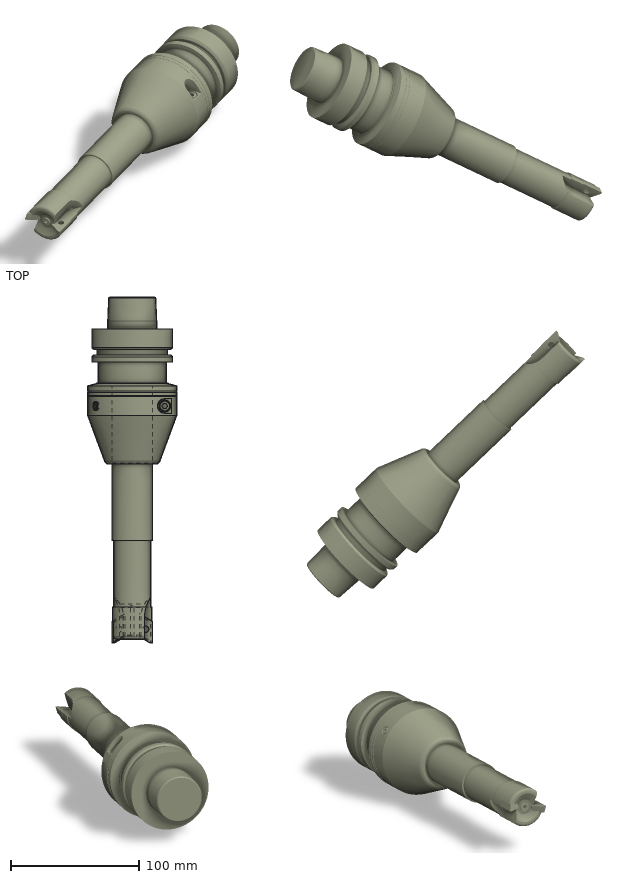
import cadquery as cq
import math

OVERALL_LENGTH = 269.5

TAPER_END_RADIUS = 18.3
TAPER_RADIUS = 19.0
TAPER_END_CHAMFER = 0.8
TAPER_TOP_Y = 250.5

FLANGE_RADIUS = 31.5
FLANGE_BACK_Y = 244.7
FLANGE_FRONT_Y = 218.8
GRIP_BACK_Y = 228.5
GRIP_FRONT_Y = 224.5
GRIP_RADIUS = 27.5
GRIP_CHAMFER = 1.5

NECK_RADIUS = 26.7
SHOULDER_BACK_Y = 202.6
SHOULDER_RIM_RADIUS = 27.8
SHOULDER_RIM_Y = 202.0
BARREL_RADIUS = 34.8
BARREL_BACK_Y = 200.2
BARREL_FRONT_Y = 177.3
NOSE_RADIUS = 21.5
NOSE_EDGE_Y = 141.7
NOSE_FACE_RADIUS = 19.0
NOSE_FACE_Y = 139.3
NOSE_RECESS_RADIUS = 17.5
NOSE_RECESS_DEPTH = 0.8

RING_GROOVE_CENTRES_Y = (195.6, 192.5)
RING_GROOVE_WIDTH = 1.0
RING_GROOVE_DEPTH = 0.3

SCREW_Y = 184.5
SCREW_GAP = 0.8
SIDE_SCREW_ANGLE = 34.0
SIDE_SCREW_RADIUS = 2.7
SIDE_SCREW_SOCKET = 2.7
SIDE_SCREW_DEPTH = 1.3
SPOT_FACE_X = 25.3
SPOT_FACE_Z = 16.2
SPOT_FACE_RADIUS = 5.7
CLAMP_SCREW_RADIUS = 3.8
CLAMP_SCREW_SOCKET = 4.3
CLAMP_SCREW_DEPTH = 2.2

SHANK_RADIUS = 16.0
SHANK_BACK_Y = BARREL_BACK_Y
SHANK_FRONT_Y = 80.0
WAIST_RADIUS = 14.5
HEAD_RADIUS = 15.4
HEAD_BACK_Y = 28.0
HEAD_FACE_Y = 3.0
HEAD_FILLET = 2.2

DISH_RADIUS = 11.5
DISH_FLOOR_RADIUS = 6.0
DISH_FLOOR_Y = 6.5
HUB_RADIUS = 3.5
HUB_FACE_Y = 5.5
COOLANT_RADIUS = 1.3
COOLANT_OUTLET_Y = 29.0
COOLANT_OUTLET_Z = 1.5

FLUTE_ROOT_X = 7.0
FLUTE_LIP_X = 9.7
FLUTE_STRAIGHT_Y = 22.6
FLUTE_RUNOUT_Y = 36.0
FLUTE_RUNOUT_RADIUS = 18.9

INSERT_COUNT = 2
INSERT_THICKNESS = 5.5
INSERT_RELIEF_ANGLE = 12.0
INSERT_OUTER_X = 16.0
INSERT_INNER_X = 5.7
INSERT_TIP_WIDTH = 2.0
INSERT_LENGTH = 16.7
INSERT_EDGE_SLOPE = 0.6
INSERT_HOLE_X = 10.5
INSERT_HOLE_Y = 10.8
INSERT_HOLE_RADIUS = 2.5


def turned(profile):
    """Revolve a closed (radius, y) sketch around the Y axis."""
    return profile.close().revolve(360, (0, 0, 0), (0, 1, 0))


def cylinder_along_y(radius, start_y, end_y):
    return cq.Workplane("XZ", origin=(0, start_y, 0)).circle(radius).extrude(start_y - end_y)


def around_axis(shape, index, count):
    """Copy number `index` of `count` copies spread evenly around the tool axis."""
    return shape.rotate((0, 0, 0), (0, 1, 0), index * 360 / count)



def holder_blank():
    grip_edge_radius = FLANGE_RADIUS - GRIP_CHAMFER
    profile = (
        cq.Workplane("XY")
        .moveTo(0, OVERALL_LENGTH)
        .lineTo(TAPER_END_RADIUS - TAPER_END_CHAMFER, OVERALL_LENGTH)
        .lineTo(TAPER_END_RADIUS, OVERALL_LENGTH - TAPER_END_CHAMFER)
        .lineTo(TAPER_RADIUS, TAPER_TOP_Y)
        .lineTo(TAPER_RADIUS, FLANGE_BACK_Y)
        .lineTo(FLANGE_RADIUS, FLANGE_BACK_Y)
        .lineTo(FLANGE_RADIUS, GRIP_BACK_Y + GRIP_CHAMFER)
        .lineTo(grip_edge_radius, GRIP_BACK_Y)
        .lineTo(GRIP_RADIUS, GRIP_BACK_Y)
        .lineTo(GRIP_RADIUS, GRIP_FRONT_Y)
        .lineTo(grip_edge_radius, GRIP_FRONT_Y)
        .lineTo(FLANGE_RADIUS, GRIP_FRONT_Y - GRIP_CHAMFER)
        .lineTo(FLANGE_RADIUS, FLANGE_FRONT_Y)
        .lineTo(NECK_RADIUS, FLANGE_FRONT_Y)
        .lineTo(NECK_RADIUS, SHOULDER_BACK_Y)
        .lineTo(SHOULDER_RIM_RADIUS, SHOULDER_BACK_Y)
        .lineTo(SHOULDER_RIM_RADIUS, SHOULDER_RIM_Y)
        .lineTo(BARREL_RADIUS, BARREL_BACK_Y)
        .lineTo(BARREL_RADIUS, BARREL_FRONT_Y)
        .lineTo(NOSE_RADIUS, NOSE_EDGE_Y)
        .tangentArcPoint((NOSE_FACE_RADIUS, NOSE_FACE_Y), relative=False)
        .lineTo(0, NOSE_FACE_Y)
    )
    return turned(profile)


def ring_groove(centre_y):
    start_y = centre_y - RING_GROOVE_WIDTH / 2
    end_y = centre_y + RING_GROOVE_WIDTH / 2
    outer = cylinder_along_y(BARREL_RADIUS + RING_GROOVE_DEPTH, start_y, end_y)
    return outer.cut(cylinder_along_y(BARREL_RADIUS - RING_GROOVE_DEPTH, start_y, end_y))


def screw_outline_cut(seat, screw_radius, socket_width, depth, clearance):
    """Ring gap and hexagon socket sunk `depth` below the seat plane."""
    gap = seat.circle(screw_radius + SCREW_GAP).circle(screw_radius).extrude(clearance + depth)
    socket = seat.polygon(6, socket_width).extrude(clearance + depth)
    return gap.union(socket)


def side_screw_cut():
    angle = math.radians(SIDE_SCREW_ANGLE)
    outward = cq.Vector(-math.cos(angle), 0, math.sin(angle))
    start = outward * (BARREL_RADIUS + SCREW_GAP) + cq.Vector(0, SCREW_Y, 0)
    seat = cq.Workplane(cq.Plane(origin=start, xDir=(0, 1, 0), normal=outward * -1))
    return screw_outline_cut(seat, SIDE_SCREW_RADIUS, SIDE_SCREW_SOCKET, SIDE_SCREW_DEPTH, SCREW_GAP)


def spot_face_cut():
    """U-shaped flat that opens sideways through the barrel wall."""
    floor = cq.Workplane("XY", origin=(SPOT_FACE_X, SCREW_Y, SPOT_FACE_Z))
    round_end = floor.circle(SPOT_FACE_RADIUS).extrude(BARREL_RADIUS)
    open_end = floor.rect(BARREL_RADIUS, 2 * SPOT_FACE_RADIUS).extrude(BARREL_RADIUS)
    open_end = open_end.translate((BARREL_RADIUS / 2, 0, 0))
    return round_end.union(open_end)


def clamp_screw_cut():
    floor_z = SPOT_FACE_Z - CLAMP_SCREW_DEPTH
    seat = cq.Workplane("XY", origin=(SPOT_FACE_X, SCREW_Y, floor_z))
    return screw_outline_cut(seat, CLAMP_SCREW_RADIUS, CLAMP_SCREW_SOCKET, CLAMP_SCREW_DEPTH, 0)


def make_holder():
    holder = holder_blank()
    for centre_y in RING_GROOVE_CENTRES_Y:
        holder = holder.cut(ring_groove(centre_y))
    holder = holder.cut(cylinder_along_y(SHANK_RADIUS, NOSE_FACE_Y, SHANK_BACK_Y))
    recess_floor_y = NOSE_FACE_Y + NOSE_RECESS_DEPTH
    holder = holder.cut(cylinder_along_y(NOSE_RECESS_RADIUS, NOSE_FACE_Y, recess_floor_y))
    holder = holder.cut(side_screw_cut())
    holder = holder.cut(spot_face_cut())
    return holder.cut(clamp_screw_cut())



def insert_blank():
    """Plate on the +X side, narrowing downward from its rake face by the relief angle."""
    tip_inner_x = INSERT_OUTER_X - INSERT_TIP_WIDTH
    front_inner_y = INSERT_EDGE_SLOPE * (tip_inner_x - INSERT_INNER_X)
    back_inner_y = INSERT_LENGTH + INSERT_EDGE_SLOPE * (INSERT_OUTER_X - INSERT_INNER_X)
    outline = [
        (INSERT_OUTER_X, 0),
        (INSERT_OUTER_X, INSERT_LENGTH),
        (INSERT_INNER_X, back_inner_y),
        (INSERT_INNER_X, front_inner_y),
        (tip_inner_x, 0),
    ]
    plate = cq.Workplane("XY").polyline(outline).close()
    return plate.extrude(-INSERT_THICKNESS, taper=INSERT_RELIEF_ANGLE)


def make_insert(index):
    hole = (
        cq.Workplane("XY")
        .center(INSERT_HOLE_X, INSERT_HOLE_Y)
        .circle(INSERT_HOLE_RADIUS)
        .extrude(-INSERT_THICKNESS)
    )
    return around_axis(insert_blank().cut(hole), index, INSERT_COUNT)



def cutter_blank():
    profile = (
        cq.Workplane("XY")
        .moveTo(0, SHANK_BACK_Y)
        .lineTo(SHANK_RADIUS, SHANK_BACK_Y)
        .lineTo(SHANK_RADIUS, SHANK_FRONT_Y)
        .lineTo(WAIST_RADIUS, SHANK_FRONT_Y)
        .lineTo(WAIST_RADIUS, HEAD_BACK_Y)
        .lineTo(HEAD_RADIUS, HEAD_BACK_Y)
        .lineTo(HEAD_RADIUS, HEAD_FACE_Y + HEAD_FILLET)
        .tangentArcPoint((HEAD_RADIUS - HEAD_FILLET, HEAD_FACE_Y), relative=False)
        .lineTo(DISH_RADIUS, HEAD_FACE_Y)
        .lineTo(DISH_FLOOR_RADIUS, DISH_FLOOR_Y)
        .lineTo(HUB_RADIUS, DISH_FLOOR_Y)
        .lineTo(HUB_RADIUS, HUB_FACE_Y)
        .lineTo(0, HUB_FACE_Y)
    )
    return turned(profile)


def flute_cut():
    """Flute on the +X side: flat floor at z = 0 and a wall leaning outward over it."""
    lip_z = math.sqrt(HEAD_RADIUS**2 - FLUTE_LIP_X**2)
    lean_angle = math.degrees(math.atan2(FLUTE_LIP_X - FLUTE_ROOT_X, lip_z))
    far_x = FLUTE_ROOT_X + 2 * HEAD_RADIUS
    side_shape = (
        cq.Workplane("XY", origin=(0, 0, -HEAD_RADIUS))
        .moveTo(FLUTE_ROOT_X, 0)
        .lineTo(FLUTE_ROOT_X, FLUTE_STRAIGHT_Y)
        .radiusArc((WAIST_RADIUS, FLUTE_RUNOUT_Y), FLUTE_RUNOUT_RADIUS)
        .lineTo(far_x, FLUTE_RUNOUT_Y)
        .lineTo(far_x, 0)
        .close()
        .extrude(3 * HEAD_RADIUS)
    )
    pivot = (FLUTE_ROOT_X, 0, 0)
    leaning = side_shape.rotate(pivot, (FLUTE_ROOT_X, 1, 0), lean_angle)
    above_floor = cq.Workplane("XY").rect(4 * far_x, 4 * FLUTE_RUNOUT_Y).extrude(HEAD_RADIUS)
    return leaning.intersect(above_floor)


def coolant_outlet():
    """Cross bore from the centre bore to the flute floor."""
    start = (0, COOLANT_OUTLET_Y, COOLANT_OUTLET_Z)
    return cq.Workplane("YZ", origin=start).circle(COOLANT_RADIUS).extrude(HEAD_RADIUS)


def make_cutter():
    cutter = cutter_blank()
    cutter = cutter.cut(cylinder_along_y(COOLANT_RADIUS, HUB_FACE_Y, COOLANT_OUTLET_Y))
    for index in range(INSERT_COUNT):
        for cut_shape in (flute_cut(), coolant_outlet(), insert_blank()):
            cutter = cutter.cut(around_axis(cut_shape, index, INSERT_COUNT))
    return cutter


holder = make_holder()
cutter = make_cutter()
inserts = [make_insert(index) for index in range(INSERT_COUNT)]

result = cq.Compound.makeCompound([holder.val(), cutter.val(), *[insert.val() for insert in inserts]])